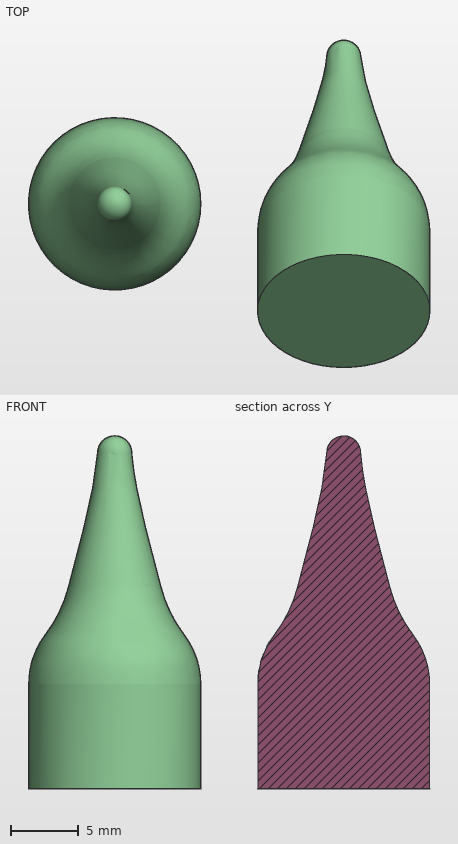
import cadquery as cq
import math

body_diameter = 12.7
total_height = 26.0
body_height = 7.7
shoulder_top_height = 11.35
shoulder_top_radius = 5.12
neck_top_height = 14.85
neck_top_radius = 3.42
tip_radius = 1.27
spout_twist = math.radians(54)
spout_spans = 8

body_radius = body_diameter / 2
tip_base_height = total_height - tip_radius
shoulder_rise = shoulder_top_height - body_height
shoulder_inset = body_radius - shoulder_top_radius
shoulder_arc_radius = (shoulder_rise**2 + shoulder_inset**2) / (2 * shoulder_inset)


def shoulder_point(height):
    """Point of the convex shoulder arc at a given height."""
    center_x = body_radius - shoulder_arc_radius
    radius = center_x + math.sqrt(shoulder_arc_radius**2 - (height - body_height) ** 2)
    return radius, height


def spout_point(fraction):
    """Point of the spout's hyperbolic profile, a fraction of the way from neck to tip.

    Each ruling joins the neck circle to the tip circle turned by the spout twist.
    """
    remainder = 1 - fraction
    along = remainder * neck_top_radius + fraction * tip_radius * math.cos(spout_twist)
    across = fraction * tip_radius * math.sin(spout_twist)
    height = remainder * neck_top_height + fraction * tip_base_height
    return math.hypot(along, across), height


def half_profile():
    """Closed half section in the XZ plane, from the base up to the rounded tip."""
    shoulder_middle = shoulder_point(body_height + shoulder_rise / 2)
    spout_points = [spout_point(i / spout_spans) for i in range(1, spout_spans + 1)]
    tip_diagonal = tip_radius * math.cos(math.pi / 4)
    return (
        cq.Workplane("XZ")
        .lineTo(body_radius, 0)
        .lineTo(body_radius, body_height)
        .threePointArc(shoulder_middle, (shoulder_top_radius, shoulder_top_height))
        .tangentArcPoint((neck_top_radius, neck_top_height), relative=False)
        .spline(spout_points, includeCurrent=True)
        .threePointArc((tip_diagonal, tip_base_height + tip_diagonal), (0, total_height))
        .close()
    )


result = half_profile().revolve(360, (0, 0, 0), (0, 1, 0))